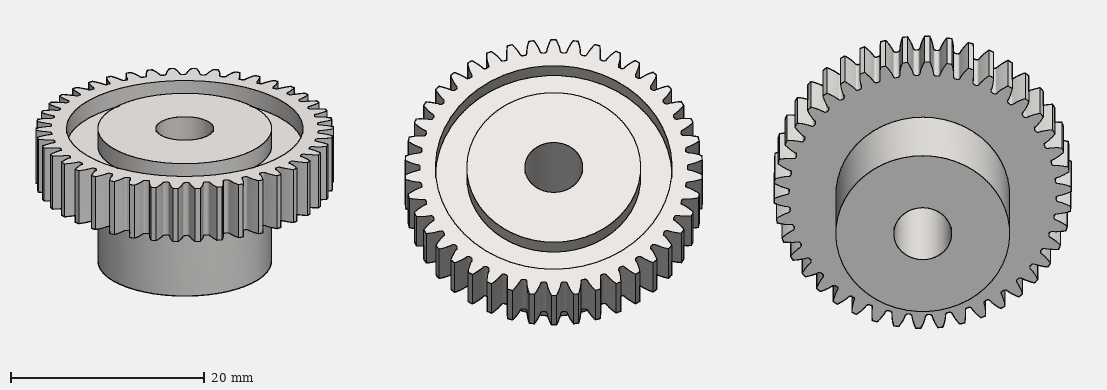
import cadquery as cq
import math

MODULE = 0.7
TEETH = 42
PRESSURE_ANGLE = math.radians(20)
DEDENDUM_FACTOR = 1.25
ROOT_FILLET = 0.38 * MODULE

TOTAL_HEIGHT = 15.0
FACE_WIDTH = 6.0
HUB_DIAMETER = 18.0
BORE_DIAMETER = 6.0
RECESS_DIAMETER = 24.5
RECESS_DEPTH = 2.0

PITCH_RADIUS = MODULE * TEETH / 2
TIP_RADIUS = PITCH_RADIUS + MODULE
ROOT_RADIUS = PITCH_RADIUS - DEDENDUM_FACTOR * MODULE
BASE_RADIUS = PITCH_RADIUS * math.cos(PRESSURE_ANGLE)
TOOTH_PITCH_ANGLE = 360 / TEETH
CUT_MARGIN = 0.2
FLANK_POINTS = 7

TOP_Z = TOTAL_HEIGHT
RIM_BOTTOM_Z = TOP_Z - FACE_WIDTH
RECESS_FLOOR_Z = TOP_Z - RECESS_DEPTH


def cylinder(diameter, bottom_z, top_z):
    """Cylinder on the Z axis between two heights."""
    return cq.Workplane("XY").workplane(offset=bottom_z).circle(diameter / 2).extrude(top_z - bottom_z)


def involute_angle(radius):
    """Polar angle (radians) swept by the involute from the base circle to a radius."""
    roll = math.acos(BASE_RADIUS / radius)
    return math.tan(roll) - roll


def gap_half_angle(radius):
    """Half of the tooth gap (radians) at a radius; gap and tooth are equal at the pitch circle."""
    quarter_pitch = math.pi / (2 * TEETH)
    return quarter_pitch + involute_angle(radius) - involute_angle(PITCH_RADIUS)


def polar(radius, angle):
    """Cartesian point from a radius and an angle in radians."""
    return (radius * math.cos(angle), radius * math.sin(angle))


def gap_flank(side):
    """Points of one involute flank from the root outwards; side is +1 or -1."""
    step = (TIP_RADIUS + CUT_MARGIN - ROOT_RADIUS) / (FLANK_POINTS - 1)
    radii = [ROOT_RADIUS + i * step for i in range(FLANK_POINTS)]
    return [polar(r, side * gap_half_angle(r)) for r in radii]


def tooth_gap():
    """Cutter for one tooth gap, centred on +X, with rounded root corners."""
    lower = gap_flank(-1)
    upper = gap_flank(1)
    profile = (
        cq.Workplane("XY")
        .workplane(offset=RIM_BOTTOM_Z)
        .moveTo(*lower[0])
        .spline(lower[1:], includeCurrent=True)
        .lineTo(*upper[-1])
        .spline(upper[-2::-1], includeCurrent=True)
        .threePointArc((ROOT_RADIUS, 0), lower[0])
        .close()
    )
    root_corners = cq.selectors.BoxSelector(
        (ROOT_RADIUS - CUT_MARGIN, -MODULE, RIM_BOTTOM_Z),
        (ROOT_RADIUS + CUT_MARGIN, MODULE, TOP_Z),
    )
    return profile.extrude(FACE_WIDTH).edges("|Z").edges(root_corners).fillet(ROOT_FILLET)


def gear_rim():
    """Toothed disc with one tooth centred on +X."""
    gap = tooth_gap().val()
    gaps = []
    for i in range(TEETH):
        angle = (i + 0.5) * TOOTH_PITCH_ANGLE
        gaps.append(gap.rotate((0, 0, 0), (0, 0, 1), angle))
    blank = cylinder(2 * TIP_RADIUS, RIM_BOTTOM_Z, TOP_Z)
    return blank.cut(cq.Workplane("XY").newObject([cq.Compound.makeCompound(gaps)]))


rim = gear_rim().cut(cylinder(RECESS_DIAMETER, RECESS_FLOOR_Z, TOP_Z))
hub = cylinder(HUB_DIAMETER, 0, TOP_Z)
bore = cylinder(BORE_DIAMETER, 0, TOP_Z)
result = rim.union(hub).cut(bore)